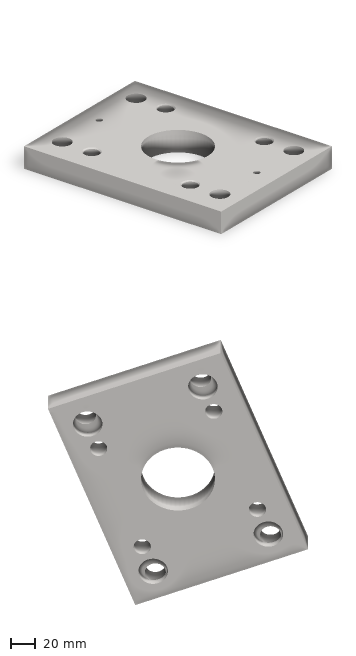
import cadquery as cq
import math

length = 200.0
width = 150.0
thickness = 20.5

bore_diameter = 60.0

corner_spacing_x = 160.0
row_spacing_y = 100.0
corner_diameter = 17.0
recess_diameter = 24.0
recess_shift = 5.0
recess_depth = 6.0

inner_spacing_x = 100.0
inner_diameter = 14.0
inner_chamfer = 1.0
inner_chamfer_angle = 90

pin_spacing_x = 160.0
pin_diameter = 6.0
pin_depth = 10.0


def corner_hole(x, y):
    """Upper hole and the recess below it, shifted towards the middle along X."""
    recess_x = x - math.copysign(recess_shift, x)
    upper = (
        cq.Workplane("XY", origin=(x, y, recess_depth))
        .circle(corner_diameter / 2)
        .extrude(thickness - recess_depth)
    )
    recess = (
        cq.Workplane("XY", origin=(recess_x, y, 0))
        .circle(recess_diameter / 2)
        .extrude(recess_depth)
    )
    return upper.union(recess)


result = (
    cq.Workplane("XY")
    .box(length, width, thickness, centered=(True, True, False))
    .faces(">Z").workplane(origin=(0, 0, thickness))
    .hole(bore_diameter)
    .rarray(inner_spacing_x, row_spacing_y, 2, 2)
    .cskHole(inner_diameter, inner_diameter + 2 * inner_chamfer, inner_chamfer_angle)
    .rarray(pin_spacing_x, 2, 2, 1)
    .hole(pin_diameter, pin_depth)
)

for x in (-corner_spacing_x / 2, corner_spacing_x / 2):
    for y in (-row_spacing_y / 2, row_spacing_y / 2):
        result = result.cut(corner_hole(x, y))